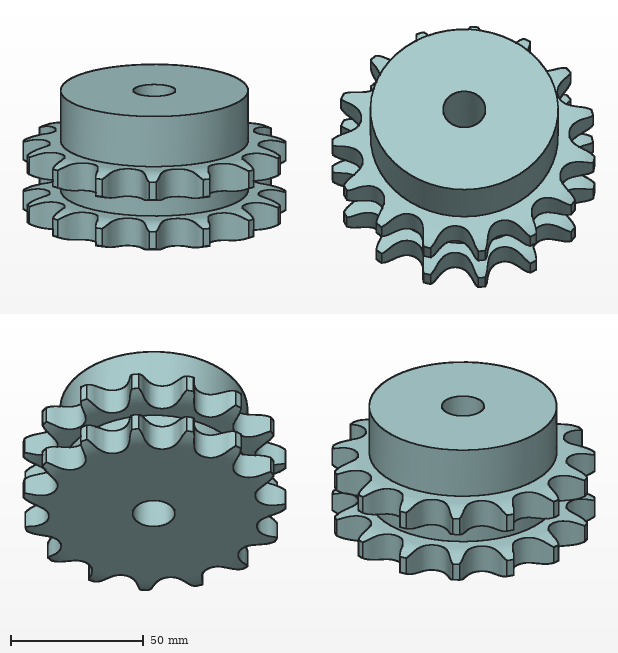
import cadquery as cq
import math

teeth = 15
pitch = 19.05
roller_dia = 12.07
strand_spacing = 19.46
tooth_width = 10.8
tip_radius = 49.90
hub_dia = 71.0
bore_dia = 16.0
total_height = 50.0

side_round_radius = 19.0
side_round_depth = 2.0

SEATING_CLEARANCE = 0.038
SEATING_FACTOR = 0.5025
WORKING_FACTOR = 1.3025
WORKING_CENTRE_FACTOR = 0.8
TOPPING_CENTRE_FACTOR = 1.4

seating_angle = math.radians(35 + 60 / teeth)
working_angle = math.radians(18 - 56 / teeth)
topping_angle = math.radians(17 - 64 / teeth)

pitch_angle = 360.0 / teeth
half_pitch_angle = math.radians(pitch_angle / 2)
pitch_radius = pitch / (2 * math.sin(half_pitch_angle))
gap_overrun = 5.0


def polar(centre, radius, angle):
    """Point at the given radius and angle (radians) from a centre."""
    return (centre[0] + radius * math.cos(angle), centre[1] + radius * math.sin(angle))


def mirrored(point):
    """Point reflected across the Y axis."""
    return (-point[0], point[1])


def tooth_gap():
    """Cutter for the gap centred on +Y: seating arc, working arcs, short flats and topping arcs."""
    seating_radius = SEATING_FACTOR * roller_dia + SEATING_CLEARANCE
    working_radius = WORKING_FACTOR * roller_dia + SEATING_CLEARANCE
    topping_radius = (
        WORKING_CENTRE_FACTOR * roller_dia * math.cos(working_angle)
        + TOPPING_CENTRE_FACTOR * roller_dia * math.cos(topping_angle)
        - working_radius
    )

    roller_centre = (0, pitch_radius)
    working_centre = polar(roller_centre, WORKING_CENTRE_FACTOR * roller_dia, math.pi - seating_angle)
    topping_centre = polar(roller_centre, TOPPING_CENTRE_FACTOR * roller_dia, -half_pitch_angle)

    working_start_angle = -seating_angle
    working_end_angle = working_start_angle + working_angle
    seat_bottom = polar(roller_centre, seating_radius, -math.pi / 2)
    seat_end = polar(roller_centre, seating_radius, working_start_angle)
    working_mid = polar(working_centre, working_radius, working_start_angle + working_angle / 2)
    working_end = polar(working_centre, working_radius, working_end_angle)
    topping_start_angle = working_end_angle + math.pi
    topping_start = polar(topping_centre, topping_radius, topping_start_angle)

    centre_distance = math.hypot(*topping_centre)
    cos_at_centre = (centre_distance**2 + topping_radius**2 - tip_radius**2) / (
        2 * centre_distance * topping_radius
    )
    inward_angle = math.atan2(-topping_centre[1], -topping_centre[0]) + 2 * math.pi
    topping_end_angle = inward_angle - math.acos(cos_at_centre)
    topping_mid = polar(topping_centre, topping_radius, (topping_start_angle + topping_end_angle) / 2)
    topping_end = polar(topping_centre, topping_radius, topping_end_angle)
    outer = (topping_end[0], tip_radius + gap_overrun)

    return (
        cq.Workplane("XY")
        .moveTo(*outer)
        .lineTo(*topping_end)
        .threePointArc(topping_mid, topping_start)
        .lineTo(*working_end)
        .threePointArc(working_mid, seat_end)
        .threePointArc(seat_bottom, mirrored(seat_end))
        .threePointArc(mirrored(working_mid), mirrored(working_end))
        .lineTo(*mirrored(topping_start))
        .threePointArc(mirrored(topping_mid), mirrored(topping_end))
        .lineTo(*mirrored(outer))
        .close()
        .extrude(tooth_width)
    )


def toothed_plate():
    """One strand: a disc with both sides rounded towards the rim, then cut by the tooth gaps."""
    radial_run = math.sqrt(side_round_radius**2 - (side_round_radius - side_round_depth) ** 2)
    flat_radius = tip_radius - radial_run
    mid_angle = math.asin(radial_run / side_round_radius) / 2
    mid_radius = flat_radius + side_round_radius * math.sin(mid_angle)
    mid_depth = side_round_radius * (1 - math.cos(mid_angle))

    plate = (
        cq.Workplane("XZ")
        .lineTo(flat_radius, 0)
        .threePointArc((mid_radius, mid_depth), (tip_radius, side_round_depth))
        .lineTo(tip_radius, tooth_width - side_round_depth)
        .threePointArc((mid_radius, tooth_width - mid_depth), (flat_radius, tooth_width))
        .lineTo(0, tooth_width)
        .close()
        .revolve(360, (0, 0, 0), (0, 1, 0))
    )
    gap = tooth_gap()
    for index in range(teeth):
        plate = plate.cut(gap.rotate((0, 0, 0), (0, 0, 1), index * pitch_angle))
    return plate


def hub():
    return cq.Workplane("XY").circle(hub_dia / 2).extrude(total_height)


def bore():
    return cq.Workplane("XY").circle(bore_dia / 2).extrude(total_height)


lower_plate = toothed_plate()
upper_plate = lower_plate.translate((0, 0, strand_spacing))
result = hub().union(lower_plate).union(upper_plate).cut(bore())